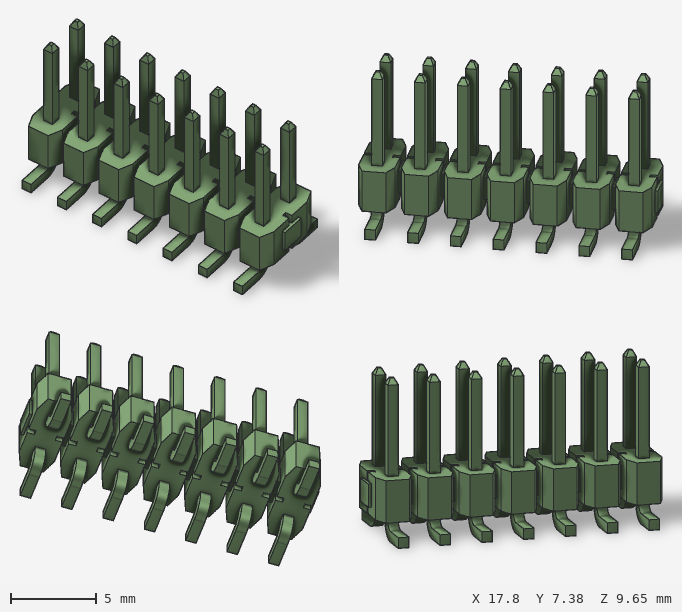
import cadquery as cq

positions = 7
header_length = 17.78
pitch = header_length / positions

block_width = 2.17
block_end_width = 1.42
block_depth = 2 * pitch
block_side_depth = 3.24
block_height = pitch
standoff = pitch / 2

groove_width = 0.28
groove_depth = 0.45
tab_depth = 1.56
tab_height = 1.39

pin_size = 0.64
pin_top = 9.65
tip_height = 0.37
tip_flat = 0.23
bend_inner_radius = 0.5
foot_span = 7.38

bend_outer_radius = bend_inner_radius + pin_size
groove_floor = block_width / 2 - groove_depth
block_middle = standoff + block_height / 2
pin_row = pitch / 2
pin_inner_face = pin_row - pin_size / 2
pin_outer_face = pin_row + pin_size / 2
bend_center_y = pin_inner_face + bend_outer_radius
bend_center_z = bend_outer_radius
foot_end = foot_span / 2
shoulder = pin_top - tip_height


def make_block():
    """Eight-sided block, narrowed at both ends, standing clear of the board."""
    half_width = block_width / 2
    half_end = block_end_width / 2
    half_depth = block_depth / 2
    half_side = block_side_depth / 2
    outline = [
        (-half_end, -half_depth),
        (half_end, -half_depth),
        (half_width, -half_side),
        (half_width, half_side),
        (half_end, half_depth),
        (-half_end, half_depth),
        (-half_width, half_side),
        (-half_width, -half_side),
    ]
    return cq.Workplane("XY").workplane(offset=standoff).polyline(outline).close().extrude(block_height)


def make_groove(side):
    """Cutter for the full-height groove in one side of the block (side is -1 or +1)."""
    center_x = side * (groove_floor + groove_depth / 2)
    return cq.Workplane("XY").box(groove_depth, groove_width, block_height).translate((center_x, 0, block_middle))


def make_tab(side):
    """Link tab from the groove floor out to the face it shares with the next unit."""
    tab_length = pitch / 2 - groove_floor
    center_x = side * (groove_floor + tab_length / 2)
    return cq.Workplane("XY").box(tab_length, tab_depth, tab_height).translate((center_x, 0, block_middle))


def make_pin():
    """Bent square pin of the +Y row: upright, outward foot and tapered tip."""
    shank = (
        cq.Workplane("YZ")
        .moveTo(pin_inner_face, shoulder)
        .lineTo(pin_inner_face, bend_center_z)
        .radiusArc((bend_center_y, 0), -bend_outer_radius)
        .lineTo(foot_end, 0)
        .lineTo(foot_end, pin_size)
        .lineTo(bend_center_y, pin_size)
        .radiusArc((pin_outer_face, bend_center_z), bend_inner_radius)
        .lineTo(pin_outer_face, shoulder)
        .close()
        .extrude(pin_size / 2, both=True)
    )
    tip = (
        cq.Workplane("XY", origin=(0, pin_row, shoulder))
        .rect(pin_size, pin_size)
        .workplane(offset=tip_height)
        .rect(tip_flat, tip_flat)
        .loft(ruled=True)
    )
    return shank.union(tip)


def make_header_unit():
    """One header position: block, grooves, link tabs and its pair of pins as one solid."""
    unit = make_block()
    for side in (-1, 1):
        unit = unit.cut(make_groove(side)).union(make_tab(side))
    pin = make_pin()
    return unit.union(pin).union(pin.mirror("XZ"))


header_unit = make_header_unit()
header_units = []
for index in range(positions):
    unit_x = (index - (positions - 1) / 2) * pitch
    header_units.append(header_unit.translate((unit_x, 0, 0)).solids().val())

result = cq.Compound.makeCompound(header_units)